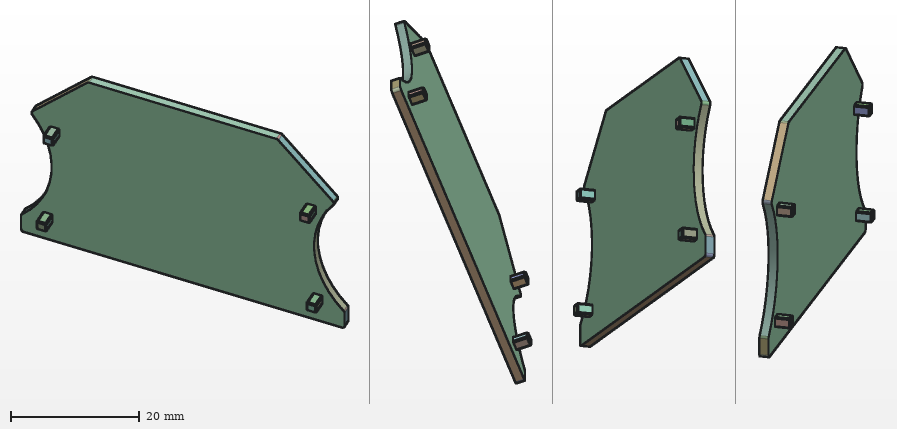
import cadquery as cq
import math

BASE_WIDTH = 55.5
HEIGHT = 35.3
THICKNESS = 1.5
TOP_WIDTH = 32.5
CORNER_RADIUS = 0.5

CUTOUT_RADIUS = 16.0
CUTOUT_CENTER_X = 38.5
CUTOUT_CENTER_Z = 15.3

OVERALL_DEPTH = 4.0
PEG_LENGTH = OVERALL_DEPTH - THICKNESS
PEG_SIDE = 1.7
PEG_CHAMFER = 0.2
UPPER_PEG_X = 22.0
UPPER_PEG_Z = 22.9
LOWER_PEG_X = 23.15
LOWER_PEG_Z = 4.6


def shoulder_point():
    """Upper point where the 45 degree slope meets the right-hand cut-out circle."""
    slope_sum = TOP_WIDTH / 2 + HEIGHT
    half_gap = (slope_sum - CUTOUT_CENTER_X - CUTOUT_CENTER_Z) / 2
    half_chord = math.sqrt(CUTOUT_RADIUS**2 / 2 - half_gap**2)
    return (CUTOUT_CENTER_X + half_gap - half_chord, CUTOUT_CENTER_Z + half_gap + half_chord)


def make_plate():
    """Flat plate with sloped shoulders, side cut-outs and rounded corners."""
    half_base = BASE_WIDTH / 2
    half_top = TOP_WIDTH / 2
    shoulder_x, shoulder_z = shoulder_point()
    waist_x = CUTOUT_CENTER_X - CUTOUT_RADIUS
    base_rise = math.sqrt(CUTOUT_RADIUS**2 - (CUTOUT_CENTER_X - half_base) ** 2)
    base_top_z = CUTOUT_CENTER_Z - base_rise
    return (
        cq.Workplane("XZ")
        .moveTo(-half_base, 0)
        .lineTo(half_base, 0)
        .lineTo(half_base, base_top_z)
        .threePointArc((waist_x, CUTOUT_CENTER_Z), (shoulder_x, shoulder_z))
        .lineTo(half_top, HEIGHT)
        .lineTo(-half_top, HEIGHT)
        .lineTo(-shoulder_x, shoulder_z)
        .threePointArc((-waist_x, CUTOUT_CENTER_Z), (-half_base, base_top_z))
        .close()
        .extrude(THICKNESS)
        .edges("|Y")
        .fillet(CORNER_RADIUS)
    )


def make_peg(x, z):
    """Square peg on the front face with chamfered side edges and free end."""
    return (
        cq.Workplane("XZ", origin=(x, -THICKNESS, z))
        .rect(PEG_SIDE, PEG_SIDE)
        .extrude(PEG_LENGTH)
        .edges("|Y or <Y")
        .chamfer(PEG_CHAMFER)
    )


result = make_plate()
for peg_x, peg_z in ((UPPER_PEG_X, UPPER_PEG_Z), (LOWER_PEG_X, LOWER_PEG_Z)):
    for side in (-1, 1):
        result = result.union(make_peg(side * peg_x, peg_z))